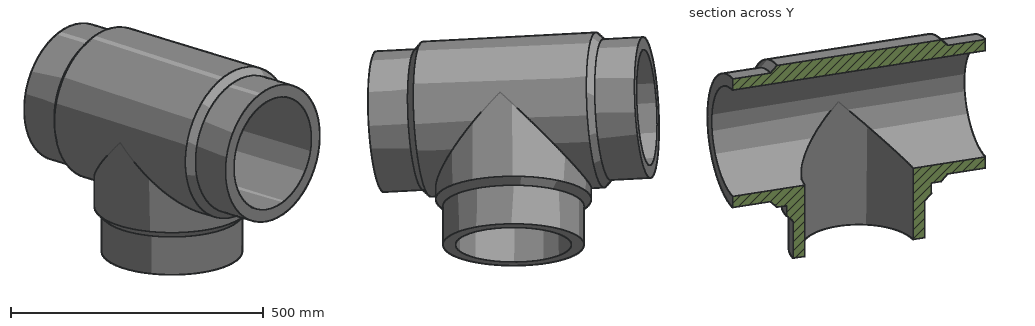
import cadquery as cq

run_length = 536.0
overall_height = 424.0
body_diameter = 308.0
spigot_diameter = 280.0
bore_diameter = 229.5
spigot_length = 80.0

body_radius = body_diameter / 2
half_run = run_length / 2
branch_length = overall_height - body_radius


def arm(direction, length):
    """Solid arm from the origin: thick body, 45 degree shoulder and spigot."""
    shoulder = (body_diameter - spigot_diameter) / 2
    plane = cq.Plane(origin=(0, 0, 0), xDir=(0, 1, 0), normal=direction)
    body = (
        cq.Workplane(plane)
        .circle(body_radius)
        .extrude(length - spigot_length)
        .faces(cq.selectors.DirectionMinMaxSelector(cq.Vector(*direction), True))
        .chamfer(shoulder)
    )
    spigot = cq.Workplane(plane).circle(spigot_diameter / 2).extrude(length)
    return body.union(spigot)


def bore(direction, length):
    """Straight bore from the origin to the open end of an arm."""
    plane = cq.Plane(origin=(0, 0, 0), xDir=(0, 1, 0), normal=direction)
    return cq.Workplane(plane).circle(bore_diameter / 2).extrude(length)


arms = [
    ((1, 0, 0), half_run),
    ((-1, 0, 0), half_run),
    ((0, 0, -1), branch_length),
]

result = arm(*arms[0])
for direction, length in arms[1:]:
    result = result.union(arm(direction, length))
for direction, length in arms:
    result = result.cut(bore(direction, length))